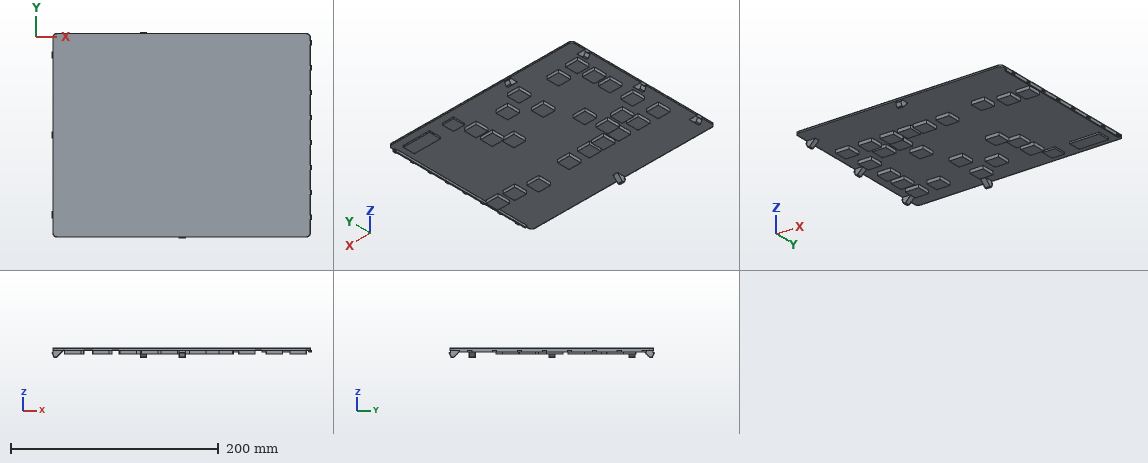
import cadquery as cq

PLATE_LENGTH = 248.0
PLATE_WIDTH = 196.0
PLATE_THICKNESS = 2.0
CORNER_RADIUS = 4.0

CLIP_DEPTH = 8.8
CLIP_WIDTH = 6.0
SIDE_CLIP_RECESS = 0.5
CLIP_REACH = 10.5
NOSE_OVERHANG = 0.8
NOSE_TOP_DEPTH = 4.1
NOSE_TIP_DEPTH = 4.4
TOE_INSET = 1.2
TOE_WIDTH = 2.4
LEFT_CLIP_CENTER_Y = 0.3
LEFT_CLIP_PITCH = 76.9
FRONT_CLIP_X = 0.6
BACK_CLIP_X = -36.8

TAB_OVERHANG = 1.06
TAB_DEPTH = 3.9
TAB_WIDTH = 4.0
TAB_PITCH = 24.0
TAB_COUNT = 8
TAB_ROW_CENTER_Y = 5.0
LIP_LENGTH = 178.4
LIP_TOP_WIDTH = 2.3
LIP_BOTTOM_WIDTH = 1.2

PAD_SIZE = 16.0
PAD_DEPTH = 5.8
PAD_ROWS = [
    (-53.8, [54.9]),
    (-47.6, [-113.0, -85.7, -59.5, -38.7, -19.9, 7.5, 81.3, 104.2]),
    (-31.5, [-60.4]),
    (-28.7, [-82.9]),
    (-15.5, [-110.2]),
    (-5.1, [-55.7]),
    (15.6, [-110.2, 20.0]),
    (31.7, [-35.9, 33.2]),
    (37.3, [-110.2]),
    (52.9, [-8.5, 34.2]),
    (58.5, [-82.9]),
    (60.4, [-110.2]),
    (64.9, [-35.9]),
]

RIB_DEPTH = TAB_DEPTH
RIB_FRONT_Y = 74.0
RIB_BACK_Y = 89.2
RIB_SPANS = [(45.0, 60.0), (77.4, 113.0)]


def box_between(x_range, y_range, depth):
    """Box from the top of the plate down to the given depth."""
    x_size = x_range[1] - x_range[0]
    y_size = y_range[1] - y_range[0]
    corner = (x_range[0], y_range[0], -depth)
    return cq.Workplane("XY").box(x_size, y_size, depth, centered=False).translate(corner)


def make_plate():
    plate = cq.Workplane("XY").box(PLATE_LENGTH, PLATE_WIDTH, PLATE_THICKNESS)
    plate = plate.edges("|Z").fillet(CORNER_RADIUS)
    return plate.translate((0, 0, -PLATE_THICKNESS / 2))


def make_clip(recess):
    """Clip on a plate edge at X = 0, nose pointing to -X, its back set in by the recess."""
    top = -PLATE_THICKNESS / 2
    profile = (
        cq.Workplane("XZ")
        .moveTo(recess, top)
        .lineTo(recess, -NOSE_TOP_DEPTH)
        .lineTo(-NOSE_OVERHANG, -NOSE_TIP_DEPTH)
        .lineTo(TOE_INSET, -CLIP_DEPTH)
        .lineTo(TOE_INSET + TOE_WIDTH, -CLIP_DEPTH)
        .lineTo(CLIP_REACH, -PLATE_THICKNESS)
        .lineTo(CLIP_REACH, top)
        .close()
    )
    return profile.extrude(CLIP_WIDTH / 2, both=True)


def add_clips(body):
    left_clip = make_clip(recess=0)
    for step in (-1, 0, 1):
        clip_y = LEFT_CLIP_CENTER_Y + step * LEFT_CLIP_PITCH
        body = body.union(left_clip.translate((-PLATE_LENGTH / 2, clip_y, 0)))

    side_clip = make_clip(recess=SIDE_CLIP_RECESS)
    axis_start = (0, 0, 0)
    axis_end = (0, 0, 1)
    front_clip = side_clip.rotate(axis_start, axis_end, 90)
    back_clip = side_clip.rotate(axis_start, axis_end, -90)
    body = body.union(front_clip.translate((FRONT_CLIP_X, -PLATE_WIDTH / 2, 0)))
    return body.union(back_clip.translate((BACK_CLIP_X, PLATE_WIDTH / 2, 0)))


def add_lip_and_tabs(body):
    """Lip with a sloped inner face, and evenly spaced tabs reaching past the edge."""
    edge_x = PLATE_LENGTH / 2
    profile = [
        (edge_x - LIP_TOP_WIDTH, -PLATE_THICKNESS),
        (edge_x - LIP_TOP_WIDTH, -PLATE_THICKNESS / 2),
        (edge_x, -PLATE_THICKNESS / 2),
        (edge_x, -TAB_DEPTH),
        (edge_x - LIP_BOTTOM_WIDTH, -TAB_DEPTH),
    ]
    lip = cq.Workplane("XZ").polyline(profile).close().extrude(LIP_LENGTH / 2, both=True)
    body = body.union(lip)

    tab_length = LIP_BOTTOM_WIDTH + TAB_OVERHANG
    tab_height = TAB_DEPTH - PLATE_THICKNESS
    tab = cq.Workplane("XY").box(tab_length, TAB_WIDTH, tab_height)
    tab_x = edge_x + TAB_OVERHANG - tab_length / 2
    tab_z = -(PLATE_THICKNESS + TAB_DEPTH) / 2
    for index in range(TAB_COUNT):
        tab_y = TAB_ROW_CENTER_Y + (index - (TAB_COUNT - 1) / 2) * TAB_PITCH
        body = body.union(tab.translate((tab_x, tab_y, tab_z)))
    return body


def add_pads(body):
    for front_y, left_sides in PAD_ROWS:
        for left_x in left_sides:
            x_range = (left_x, left_x + PAD_SIZE)
            y_range = (front_y, front_y + PAD_SIZE)
            body = body.union(box_between(x_range, y_range, PAD_DEPTH))
    return body


def add_ribs(body):
    for x_range in RIB_SPANS:
        body = body.union(box_between(x_range, (RIB_FRONT_Y, RIB_BACK_Y), RIB_DEPTH))
    return body


result = make_plate()
result = add_clips(result)
result = add_lip_and_tabs(result)
result = add_pads(result)
result = add_ribs(result)